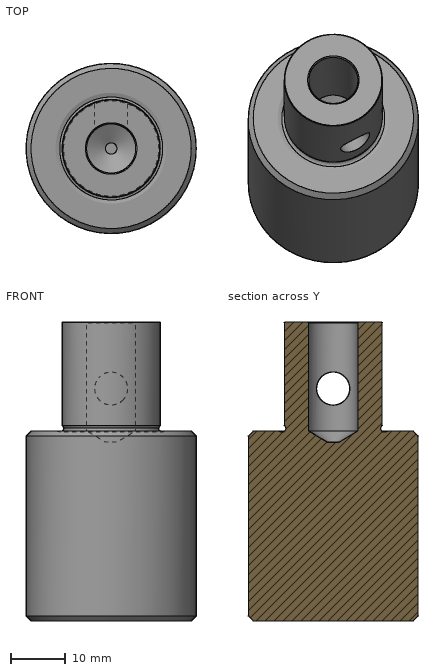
import cadquery as cq
import math

total_height = 55
body_radius = 15.65
body_height = 35.0
body_chamfer = 0.95
spigot_radius = 9.0
spigot_chamfer = 0.1

neck_depth = 0.3
undercut_height = 1.0
undercut_outer_radius = 10.2
shoulder_relief_depth = 0.2
relief_corner_radius = 0.7
neck_runout_angle = 30

bore_radius = 4.5
bore_chamfer = 0.2
bore_depth = 20.0
bore_flat_radius = 1.05
bore_tip_angle = 118

cross_hole_radius = 3.0
cross_hole_height = 42.75


def make_turned_body():
    """Revolve the stepped outline, including the shoulder undercut."""
    neck_radius = spigot_radius - neck_depth
    runout_height = neck_depth / math.tan(math.radians(neck_runout_angle))
    undercut_top = body_height + undercut_height
    relief_floor = body_height - shoulder_relief_depth
    corner_inset = relief_corner_radius * (1 - math.sqrt(0.5))

    return (
        cq.Workplane("XZ")
        .lineTo(body_radius - body_chamfer, 0)
        .lineTo(body_radius, body_chamfer)
        .lineTo(body_radius, body_height - body_chamfer)
        .lineTo(body_radius - body_chamfer, body_height)
        .lineTo(undercut_outer_radius, body_height)
        .lineTo(neck_radius + relief_corner_radius, relief_floor)
        .threePointArc(
            (neck_radius + corner_inset, relief_floor + corner_inset),
            (neck_radius, relief_floor + relief_corner_radius),
        )
        .lineTo(neck_radius, undercut_top - runout_height)
        .lineTo(spigot_radius, undercut_top)
        .lineTo(spigot_radius, total_height - spigot_chamfer)
        .lineTo(spigot_radius - spigot_chamfer, total_height)
        .lineTo(0, total_height)
        .close()
        .revolve(360, (0, 0, 0), (0, 1, 0))
    )


def make_bore():
    """Solid of the axial bore, with its mouth chamfer and conical bottom."""
    bore_bottom = total_height - bore_depth
    cone_height = (bore_radius - bore_flat_radius) / math.tan(math.radians(bore_tip_angle / 2))
    return (
        cq.Workplane("XZ")
        .moveTo(0, bore_bottom - cone_height)
        .lineTo(bore_flat_radius, bore_bottom - cone_height)
        .lineTo(bore_radius, bore_bottom)
        .lineTo(bore_radius, total_height - bore_chamfer)
        .lineTo(bore_radius + bore_chamfer, total_height)
        .lineTo(0, total_height)
        .close()
        .revolve(360, (0, 0, 0), (0, 1, 0))
    )


def make_cross_hole():
    """Cylinder running from the spigot axis out past its +Y side."""
    return cq.Workplane("XZ", origin=(0, 0, cross_hole_height)).circle(cross_hole_radius).extrude(-body_radius)


result = make_turned_body().cut(make_bore()).cut(make_cross_hole())